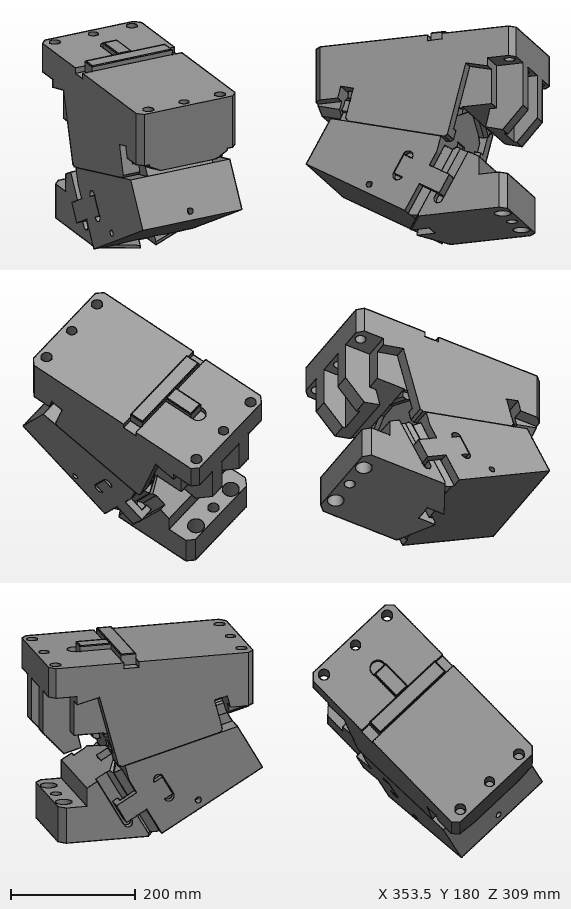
import cadquery as cq
import math

length = 353.5
width = 180.0
holder_length = 340.0
holder_top = 300.0
key_top = 309.0
half_width = width / 2
over = 3.5

guide_corner = (114.5, 124.5)
guide_angle = 15
guide_length = 179.3
guide_gap = 0.7
core_half = 70.7
lip_inner = 60.0
lip_height = 19.5
guide_peak = 67.2

ramp_corner = (82.5, 100.0)
ramp_angle = 60
ramp_end = 212.0
ramp_peak = 56.0
driver_half = 77.0
groove_width = 14.5
groove_floor = 65.5

vee_slope = 0.48
vee_flat = 14.0

COS_G = math.cos(math.radians(guide_angle))
SIN_G = math.sin(math.radians(guide_angle))
COS_R = math.cos(math.radians(ramp_angle))
SIN_R = math.sin(math.radians(ramp_angle))


def guide(u, v):
    """The (x, z) of a guide point."""
    return (guide_corner[0] + u * COS_G - v * SIN_G, guide_corner[1] + u * SIN_G + v * COS_G)


def guide_at_height(u, z):
    """The (x, z) on the line square to the guide at u, where that line reaches height z."""
    foot_x, foot_z = guide(u, 0)
    return (foot_x - (z - foot_z) * SIN_G / COS_G, z)


def ramp(n, t):
    """The (x, z) of a ramp point."""
    return (ramp_corner[0] + n * SIN_R + t * COS_R, ramp_corner[1] + n * COS_R - t * SIN_R)


def ramp_at_height(n, z):
    """The (x, z) on the line down the ramp at n, where that line reaches height z."""
    return ramp(n, (ramp_corner[1] + n * COS_R - z) / SIN_R)


def guide_vee(y):
    """Height v of the guide's vee at y."""
    return guide_peak - vee_slope * (y - vee_flat)


def ramp_vee(y):
    """Height n of the ramp's vee at y."""
    return ramp_peak - vee_slope * (y - vee_flat)


def prism(outline, half):
    """An (x, z) outline made solid from -half to +half in Y."""
    return cq.Workplane("XZ").polyline(outline).close().extrude(half, both=True)


def on_both_sides(sketch, inner, outer):
    """A closed (x, z) sketch made solid from inner to outer, on the -Y and the +Y side."""
    near = sketch.extrude(outer - inner).translate((0, -inner, 0))
    return near.union(near.mirror("XZ"))


def side_pair(outline, inner, outer):
    """An (x, z) outline made solid from inner to outer on both sides."""
    return on_both_sides(cq.Workplane("XZ").polyline(outline).close(), inner, outer)


def mirrored(half_section):
    """A section drawn for +Y, completed with its mirror image."""
    return half_section + [(-y, height) for y, height in reversed(half_section)]


def guide_plane(u):
    """The (y, v) plane at u, facing up the guide."""
    x, z = guide(u, 0)
    return cq.Plane(origin=(x, 0, z), xDir=(0, 1, 0), normal=(COS_G, 0, SIN_G))


def ramp_plane(t):
    """The (y, n) plane at t, facing down the ramp."""
    x, z = ramp(0, t)
    return cq.Plane(origin=(x, 0, z), xDir=(0, 1, 0), normal=(COS_R, 0, -SIN_R))


def along_guide(half_section, u_start, u_end):
    """A (y, v) section run along the guide."""
    section = cq.Workplane(guide_plane(u_start)).polyline(mirrored(half_section)).close()
    return section.extrude(u_end - u_start)


def along_ramp(half_section, t_start, t_end):
    """A (y, n) section run down the ramp."""
    section = cq.Workplane(ramp_plane(t_start)).polyline(mirrored(half_section)).close()
    return section.extrude(t_end - t_start)


def lead_in(corners, drop, y_end):
    """An (x, z) triangle swept from the middle out to y_end on each side, moving by drop in (x, z)."""
    wire = cq.Wire.makePolygon([cq.Vector(x, 0, z) for x, z in corners], close=True)
    sweep = cq.Vector(drop[0], y_end, drop[1])
    wedge = cq.Workplane(cq.Solid.extrudeLinear(wire, [], sweep))
    return wedge.union(wedge.mirror("XZ"))


def block(x_range, half, z_range):
    """A box centred on Y = 0."""
    x_start, x_end = x_range
    z_start, z_end = z_range
    box = cq.Workplane("XY").box(x_end - x_start, 2 * half, z_end - z_start, centered=(False, True, False))
    return box.translate((x_start, 0, z_start))


def drilled(plane, radius, depth):
    """A blind hole with a conical bottom, drilled against the plane's normal."""
    tip = radius * math.tan(math.radians(31))
    hole = cq.Workplane(plane).circle(radius).extrude(-depth)
    cone = cq.Solid.makeCone(radius, 0, tip, plane.origin - plane.zDir * depth, plane.zDir * -1)
    return hole.union(cq.Workplane(cone))


plate_start = -5.0
pad_end = 196.2
slot_end = 201.2
relief_top = 54.8
block_bottom = 250.0
core_left = 45.0
core_bottom = 178.5
flange_bevel = 4.2


def flange_foot():
    """Bevelled bottom edge of the flanges, from the near end to the far end."""
    return [
        guide(0, flange_bevel), guide(flange_bevel, 0),
        guide(guide_length - flange_bevel, 0), guide(guide_length, flange_bevel),
    ]


def holder_shell():
    """Full-width top block with the two flanges, open between them."""
    flange_top = 125.0
    shoulder_bottom = 236.2
    heel_bottom = 210.0
    corner_chamfer = 10.0
    outline = [
        (0, holder_top), (0, block_bottom), (core_left, block_bottom), (core_left, shoulder_bottom),
        guide(0, flange_top), *flange_foot(), guide(guide_length, relief_top), guide(slot_end, relief_top),
        guide_at_height(slot_end, heel_bottom), (holder_length, heel_bottom), (holder_length, holder_top),
    ]
    between = [
        (core_left, block_bottom), guide(0, -over), guide(slot_end, -over),
        guide(slot_end, relief_top), guide(0, flange_top),
    ]
    shell = prism(outline, half_width).edges("|Z and (<X or >X)").chamfer(corner_chamfer)
    return shell.cut(prism(between, core_half))


def holder_core():
    """Middle of the holder between the flanges, down to the flange lips."""
    outline = [
        (core_left, block_bottom + over), (core_left, core_bottom), guide_at_height(plate_start, core_bottom),
        guide(plate_start, lip_height), guide(0, lip_height), *flange_foot(),
        guide(guide_length, lip_height), guide(pad_end, lip_height), guide(pad_end, relief_top),
        guide(slot_end, relief_top), (holder_length, block_bottom), (holder_length, block_bottom + over),
    ]
    return prism(outline, core_half)


def holder_vee():
    """Room for the slider's head: a vee with a relief along each edge and a lead-in at its near end."""
    plate_edge = 61.0
    relief_edge = plate_edge + (relief_top - guide_vee(plate_edge)) * vee_slope
    section = [
        (lip_inner, -over), (lip_inner, lip_height), (core_half, lip_height), (core_half, relief_top),
        (relief_edge, relief_top), (plate_edge, guide_vee(plate_edge)), (vee_flat, guide_peak),
    ]
    middle_peak = guide_vee(0)
    bevel_depth = 4.0
    bevel_end = plate_start + 6.5
    corners = [
        guide(plate_start, middle_peak), guide(plate_start, middle_peak + bevel_depth),
        guide(bevel_end, middle_peak),
    ]
    fall = vee_slope * core_half
    bevel = lead_in(corners, (fall * SIN_G, -fall * COS_G), core_half)
    return along_guide(section, plate_start, slot_end).union(bevel)


def holder_stop():
    """Tapered stop under the far end, behind the cross slot."""
    section = [(core_half, relief_top), (core_half, 21.2), (50.5, 10.5)]
    stop = along_guide(section, slot_end, slot_end + holder_length)
    return stop.intersect(block((0, holder_length), half_width, (0, holder_top)))


def holder_hooks():
    """Two hooks under the near end, joined behind the gap between them."""
    hook_inner = 22.0
    hook_outer = 46.5
    gap_depth = 40.0
    outline = [
        (0, block_bottom), (0, core_bottom), (34.5, 141.0), (63.5, 149.0), (56.5, core_bottom), (56.5, block_bottom),
    ]
    return prism(outline, hook_outer).cut(block((0, gap_depth), hook_inner, (0, block_bottom)))


cross_key_start = 122.5
cross_key_end = 147.5
key_floor = holder_top - 9.5
long_key_half = 12.7


def holder_key_slots():
    """Cross slot over the full width and a round-ended slot running into it."""
    slot_center = 66.5
    heights = (key_floor, key_top)
    cross_slot = block((cross_key_start, cross_key_end), half_width, heights)
    long_slot = block((slot_center, cross_key_start), long_key_half, heights)
    floor = cq.Workplane("XY", origin=(slot_center, 0, key_floor))
    return cross_slot.union(long_slot).union(floor.circle(long_key_half).extrude(key_top - key_floor))


def holder_keys():
    """The bevelled cross key and long key that stand in the slots."""
    key_bevel = 1.5
    long_key_start = 71.0
    cross_key_half = 73.0
    heights = (key_floor, key_top)
    cross_key = block((cross_key_start, cross_key_end), cross_key_half, heights)
    long_key = block((long_key_start, cross_key_start), long_key_half, heights)
    return (
        cross_key.faces(">Z").edges().chamfer(key_bevel)
        .union(long_key.faces(">Z").edges().chamfer(key_bevel))
    )


def holder_holes():
    """Two screw holes and a pin hole at each end: through at the near end, blind at the far end."""
    screw_radius = 9.0
    pin_radius = 8.0
    blind_depth = 35.5
    rows = ((14.5, 70.0, holder_top - block_bottom + over), (325.0, 65.0, blind_depth))
    holes = cq.Workplane("XY")
    for x, screw_y, depth in rows:
        top = cq.Workplane("XY", origin=(x, 0, holder_top))
        screws = top.pushPoints([(0, -screw_y), (0, screw_y)]).circle(screw_radius).extrude(-depth)
        holes = holes.add(screws.union(top.circle(pin_radius).extrude(-depth)))
    return holes.combine()


def make_holder():
    body = holder_shell().union(holder_core()).cut(holder_vee())
    body = body.union(holder_stop()).union(holder_hooks())
    return body.cut(holder_key_slots()).union(holder_keys()).cut(holder_holes())


slider_start = 10.3
slider_bottom_t = 132.0
slider_far_n = (length - ramp_corner[0] - slider_bottom_t * COS_R) / SIN_R
slider_face_n = 43.0
foot_height = 5.0


def slider_near_corner():
    """Where the near end, square to the guide, meets the ramp side of the side walls."""
    x, z = ramp(slider_face_n, 0)
    u = (x - guide_corner[0]) * COS_G + (z - guide_corner[1]) * SIN_G
    return ramp(slider_face_n, (slider_start - u) / math.cos(math.radians(guide_angle + ramp_angle)))


def slider_far_corner(v):
    """Where the far end face reaches height v above the guide."""
    x, z = ramp(slider_far_n, 0)
    v_at_corner = (z - guide_corner[1]) * COS_G - (x - guide_corner[0]) * SIN_G
    return ramp(slider_far_n, (v_at_corner - v) / math.sin(math.radians(guide_angle + ramp_angle)))


def slider_wedge():
    """Full-width wedge between the guide and the ramp."""
    outline = [
        guide(slider_start, -guide_gap), slider_near_corner(), ramp(slider_face_n, slider_bottom_t),
        ramp(slider_far_n, slider_bottom_t), slider_far_corner(-guide_gap),
    ]
    return prism(outline, half_width)


def slider_head():
    """Neck and vee-topped head held by the holder's lips."""
    neck_half = lip_inner - guide_gap
    head_half = core_half - guide_gap
    vee_edge = 63.3
    shoulder_v = 40.3
    shoulder_edge = vee_edge + 1.8
    head_edge_v = 38.0
    section = [
        (neck_half, -over), (neck_half, lip_height + guide_gap), (head_half, lip_height + guide_gap),
        (head_half, head_edge_v), (shoulder_edge, shoulder_v), (vee_edge, guide_vee(vee_edge)),
        (vee_flat, guide_peak),
    ]
    bend_v = 27.5
    profile = [
        guide(slider_start, -over), guide(slider_start, guide_peak + over), guide(pad_end, guide_peak + over),
        guide(pad_end, bend_v), slider_far_corner(-over),
    ]
    head = along_guide(section, slider_start, length)
    return head.intersect(prism(profile, half_width))


def slider_runner():
    """Runner below the side walls that carries the vee down onto the driver."""
    runner_edge = 68.0
    runner_start = 7.0
    runner_n = ramp_vee(runner_edge)
    root_n = slider_face_n + 0.5
    section = [(runner_edge + (root_n - runner_n) * vee_slope, root_n), (runner_edge, runner_n)]
    runner = along_ramp(section, runner_start, slider_bottom_t)
    return runner.cut(block((0, length), half_width, (-length, foot_height)))


def slider_valley():
    """Vee room for the driver's ridge, with a flat keel left along the middle."""
    keel_n = 48.8
    valley = [(driver_half, ramp_vee(driver_half)), (vee_flat, ramp_peak), (vee_flat, keel_n)]
    return along_ramp(valley, 0, ramp_end)


def slider_keyway():
    """Shallow recess in the middle of the near end, above the keel."""
    keyway_half = 15.5
    keyway_top = 12.5
    keyway_depth = 3.0
    section = [(keyway_half, 0), (keyway_half, keyway_top)]
    return along_guide(section, plate_start, slider_start + keyway_depth)


def slider_tabs():
    """A tab on each side wall whose lip turns into the driver's groove."""
    tab_inner = 77.8
    tab_n = 4.2
    tab_root_n = slider_face_n + over
    top_t = 48.5
    bottom_t = 82.5
    wall = [ramp(tab_n, top_t), ramp(tab_root_n, top_t), ramp(tab_root_n, bottom_t), ramp(tab_n, bottom_t)]
    lip = [ramp(tab_n, top_t), ramp(groove_width, top_t), ramp(groove_width, bottom_t), ramp(tab_n, bottom_t)]
    return side_pair(wall, tab_inner, half_width).union(side_pair(lip, groove_floor, tab_inner))


def slider_side_pockets():
    """Two facing half-round pockets on each side, joined by a narrow gap along their far edge."""
    pocket_n = 84.5
    pocket_radius = 8.5
    pocket_depth = 10.5
    pocket_inner = half_width - pocket_depth
    gap = 1.0
    upper_t = 50.2
    lower_t = 84.5
    near_n = pocket_n - pocket_radius
    far_n = pocket_n + pocket_radius
    pockets = side_pair(
        [ramp(far_n - gap, upper_t), ramp(far_n, upper_t), ramp(far_n, lower_t), ramp(far_n - gap, lower_t)],
        pocket_inner, half_width)
    for t, direction in ((upper_t, -1), (lower_t, 1)):
        half_round = (
            cq.Workplane("XZ").moveTo(*ramp(near_n, t))
            .threePointArc(ramp(pocket_n, t + direction * pocket_radius), ramp(far_n, t)).close()
        )
        pockets = pockets.union(on_both_sides(half_round, pocket_inner, half_width))
    return pockets


def slider_drillings():
    """A small blind hole in each side and one in the far end face."""
    radius = 5.0
    depth = 17.7
    side_x, side_z = ramp(121.3, 118.0)
    end_x, end_z = ramp(slider_far_n, 117.0)
    near = drilled(cq.Plane((side_x, -half_width, side_z), (1, 0, 0), (0, -1, 0)), radius, depth)
    end = drilled(cq.Plane((end_x, 0, end_z), (0, 1, 0), (SIN_R, 0, COS_R)), radius, depth)
    return near.union(near.mirror("XZ")).union(end)


def make_slider():
    body = slider_wedge().union(slider_head()).union(slider_runner())
    body = body.cut(slider_valley()).cut(slider_keyway()).union(slider_tabs())
    return body.cut(slider_side_pockets()).cut(slider_drillings())


driver_left = 19.5
ledge_top = 59.5


def driver_base():
    """Stepped block up to the lower edges of the ramp."""
    step_x = 64.7
    corner_chamfer = 11.0
    edge_n = ramp_vee(driver_half)
    foot_x, _ = ramp_at_height(edge_n, foot_height)
    step_top = ramp_corner[1] - (ramp_corner[0] - step_x) * COS_R / SIN_R
    outline = [
        (driver_left, 0), (driver_left, ledge_top), (step_x, ledge_top), (step_x, step_top),
        ramp(edge_n, 0), (foot_x, foot_height), (foot_x, 0),
    ]
    return prism(outline, driver_half).edges("|Z and <X").chamfer(corner_chamfer)


def driver_ridge():
    """Vee ridge along the ramp, with an upright foot below it and a lead-in at its top end."""
    edge_n = ramp_vee(driver_half)
    foot_x, _ = ramp_at_height(edge_n, foot_height)
    peak_x, _ = ramp_at_height(ramp_peak, foot_height)
    section = [(driver_half, edge_n - over), (driver_half, edge_n), (vee_flat, ramp_peak)]
    ridge = along_ramp(section, 0, ramp_end)
    ridge = ridge.intersect(block((0, length), driver_half, (foot_height, length)))
    half_foot = [(driver_half, foot_x - over), (driver_half, foot_x), (vee_flat, peak_x)]
    foot_outline = [(x, y) for y, x in mirrored(half_foot)]
    foot = cq.Workplane("XY").polyline(foot_outline).close().extrude(foot_height)
    middle_peak = ramp_vee(0)
    bevel_depth = 4.2
    bevel_length = 6.5
    corners = [
        ramp(middle_peak, 0), ramp(middle_peak + bevel_depth, bevel_length),
        ramp(middle_peak + bevel_depth, 0),
    ]
    fall = vee_slope * driver_half + bevel_depth
    bevel = lead_in(corners, (-fall * SIN_R, -fall * COS_R), driver_half)
    return ridge.union(foot).cut(bevel)


def driver_channel():
    """Channel down the middle of the ridge."""
    floor_n = 27.0
    return along_ramp([(vee_flat, floor_n), (vee_flat, ramp_peak + over)], -over, ramp_end)


def driver_grooves():
    """Side grooves for the slider's tabs, open at the top and round at the bottom."""
    radius = groove_width / 2
    end_t = 97.0
    groove = (
        cq.Workplane("XZ").moveTo(*ramp(0, -over)).lineTo(*ramp(0, end_t - radius))
        .threePointArc(ramp(radius, end_t), ramp(groove_width, end_t - radius))
        .lineTo(*ramp(groove_width, -over)).close()
    )
    return on_both_sides(groove, groove_floor, half_width)


def driver_notches():
    """Openings at the top of the grooves, wide enough to let the tabs in."""
    bottom_t = 54.0
    undercut_n = 20.5
    top_n = ramp_peak
    undercut_y = groove_floor + (top_n - undercut_n) * vee_slope
    section = [
        (groove_floor, 0), (groove_floor, undercut_n), (undercut_y, top_n),
        (half_width, top_n), (half_width, 0),
    ]
    notch = cq.Workplane(ramp_plane(-over)).polyline(section).close().extrude(bottom_t + over)
    return notch.union(notch.mirror("XZ"))


def driver_holes():
    """Two large holes and a pin hole through the ledge."""
    screw_y = 45.0
    screw_radius = 13.5
    pin_radius = 9.0
    ledge = cq.Workplane("XY", origin=(35.0, 0, ledge_top))
    screws = ledge.pushPoints([(0, -screw_y), (0, screw_y)]).circle(screw_radius).extrude(-ledge_top)
    return screws.union(ledge.circle(pin_radius).extrude(-ledge_top))


def make_driver():
    body = driver_base().union(driver_ridge()).cut(driver_channel())
    return body.cut(driver_grooves()).cut(driver_notches()).cut(driver_holes())


holder = make_holder()
slider = make_slider()
driver = make_driver()
result = cq.Compound.makeCompound([holder.val(), slider.val(), driver.val()])